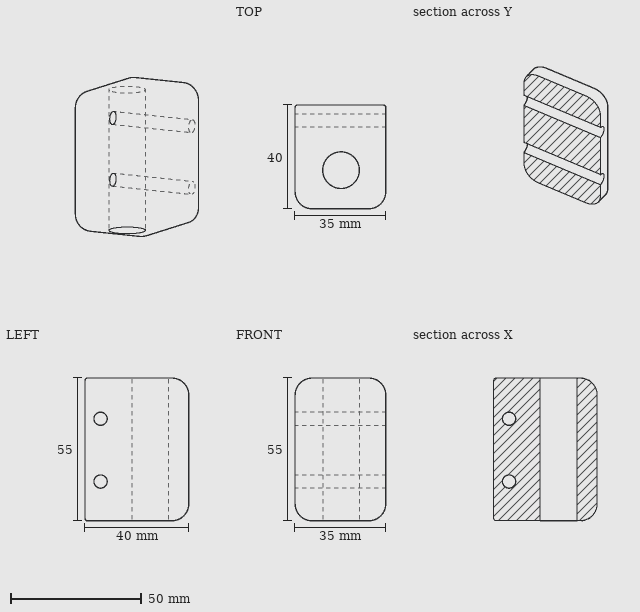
import cadquery as cq

width = 35.0
depth = 40.0
height = 55.0

main_radius = 6.65
back_radius = 1.0

bore_diameter = 14.0
bore_from_front = 14.9
bore_offset_x = 0.2

cross_hole_diameter = 5.0
cross_hole_spacing = 24.15
cross_hole_from_back = 6.0
cross_hole_offset_z = -0.3


def rounded_block():
    """Block with large rounds everywhere except its lightly rounded back rim."""
    block = cq.Workplane("XY").box(width, depth, height)
    block = block.edges("|Y or <Y").fillet(main_radius)
    return block.faces(">Y").edges().fillet(back_radius)


def vertical_bore():
    bore_y = bore_from_front - depth / 2
    return (
        cq.Workplane("XY")
        .center(bore_offset_x, bore_y)
        .circle(bore_diameter / 2)
        .extrude(height, both=True)
    )


def cross_holes():
    hole_y = depth / 2 - cross_hole_from_back
    upper_z = cross_hole_offset_z + cross_hole_spacing / 2
    lower_z = cross_hole_offset_z - cross_hole_spacing / 2
    return (
        cq.Workplane("YZ")
        .pushPoints([(hole_y, upper_z), (hole_y, lower_z)])
        .circle(cross_hole_diameter / 2)
        .extrude(width, both=True)
    )


result = rounded_block().cut(vertical_bore()).cut(cross_holes())